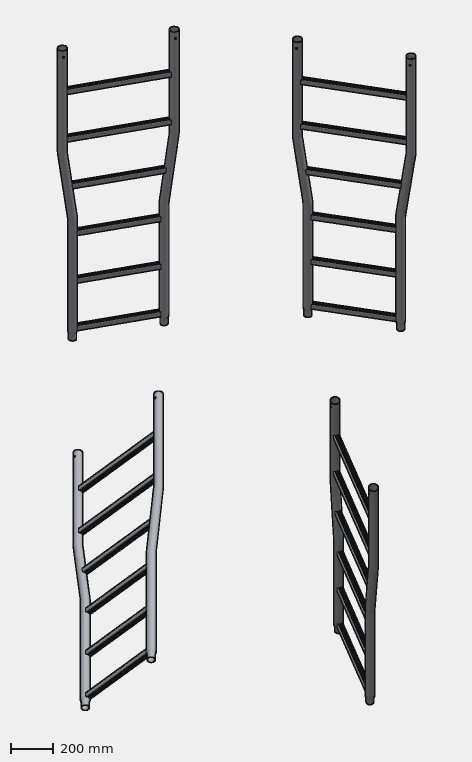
import cadquery as cq
import math

overall_height = 1719.96
upper_axis_y = 275.0
lower_axis_y = 225.0

rail_diameter = 48.0
rail_wall = 3.0
rail_bore = rail_diameter - 2 * rail_wall
spigot_diameter = 40.0
spigot_bore = spigot_diameter - 2 * rail_wall
spigot_length = 36.0
swage_height = 14.0
tube_foot_z = spigot_length + swage_height

lower_corner_z = 712.0
upper_leg = 612.0
upper_corner_z = overall_height - upper_leg
bend_radius = 130.0
bend_angle = math.atan((upper_axis_y - lower_axis_y) / (upper_corner_z - lower_corner_z))
bend_tangent = bend_radius * math.tan(bend_angle / 2)

pin_hole_diameter = 9.0
pin_hole_drop = 38.0
pin_hole_z = overall_height - pin_hole_drop

rung_count = 6
rung_pitch = 280.0
rung_size = 30.0
first_rung_z = tube_foot_z + rung_size / 2
rung_corner_radius = 4.0
groove_count = 5
groove_pitch = 4.0
groove_width = 2.0
groove_depth = 1.0


def rail_path(side):
    """Rail axis from the foot of the tube to its top; side is +1 or -1 along Y."""
    along_y = bend_tangent * math.sin(bend_angle)
    along_z = bend_tangent * math.cos(bend_angle)
    bow = bend_radius * (1 - math.cos(bend_angle / 2))
    half_rise = bend_radius * math.sin(bend_angle / 2)
    lower_start_z = lower_corner_z - bend_tangent
    upper_end_z = upper_corner_z + bend_tangent
    return (
        cq.Workplane("YZ")
        .moveTo(side * lower_axis_y, tube_foot_z)
        .lineTo(side * lower_axis_y, lower_start_z)
        .threePointArc(
            (side * (lower_axis_y + bow), lower_start_z + half_rise),
            (side * (lower_axis_y + along_y), lower_corner_z + along_z),
        )
        .lineTo(side * (upper_axis_y - along_y), upper_corner_z - along_z)
        .threePointArc(
            (side * (upper_axis_y - bow), upper_end_z - half_rise),
            (side * upper_axis_y, upper_end_z),
        )
        .lineTo(side * upper_axis_y, overall_height)
    )


def rail_rod(side, tube_diameter, foot_diameter):
    """Solid rod along the rail axis, tapering to a narrower foot below the tube."""
    rod = (
        cq.Workplane("XY", origin=(0, side * lower_axis_y, tube_foot_z))
        .circle(tube_diameter / 2)
        .sweep(rail_path(side))
    )
    foot = (
        cq.Workplane("XZ", origin=(0, side * lower_axis_y, 0))
        .polyline([
            (0, 0),
            (foot_diameter / 2, 0),
            (foot_diameter / 2, spigot_length),
            (tube_diameter / 2, tube_foot_z),
            (0, tube_foot_z),
        ])
        .close()
        .revolve(360, (0, 0, 0), (0, 1, 0))
    )
    return rod.union(foot)


def make_rail(side):
    pin_hole = (
        cq.Workplane("YZ", origin=(0, side * upper_axis_y, pin_hole_z))
        .circle(pin_hole_diameter / 2)
        .extrude(rail_diameter, both=True)
    )
    bore = rail_rod(side, rail_bore, spigot_bore)
    return rail_rod(side, rail_diameter, spigot_diameter).cut(bore).cut(pin_hole)


def make_rung(rung_z, rail_envelopes):
    """Grooved bar whose ends are coped to the outside of the two rails."""
    rung_length = 2 * upper_axis_y
    bar = (
        cq.Workplane("XY", origin=(0, 0, rung_z))
        .box(rung_size, rung_length, rung_size)
        .edges("|Y")
        .fillet(rung_corner_radius)
    )
    for index in range(groove_count):
        groove_x = (index - (groove_count - 1) / 2) * groove_pitch
        for face in (1, -1):
            face_z = rung_z + face * rung_size / 2
            groove = cq.Workplane("XY", origin=(groove_x, 0, face_z)).box(
                groove_width, rung_length, 2 * groove_depth
            )
            bar = bar.cut(groove)
    for envelope in rail_envelopes:
        bar = bar.cut(envelope)
    return bar.solids(cq.selectors.NearestToPointSelector((0, 0, rung_z)))


sides = (1, -1)
rails = [make_rail(side) for side in sides]
rail_envelopes = [rail_rod(side, rail_diameter, spigot_diameter) for side in sides]
rungs = [make_rung(first_rung_z + index * rung_pitch, rail_envelopes) for index in range(rung_count)]

result = cq.Compound.makeCompound([body.val() for body in rails + rungs])